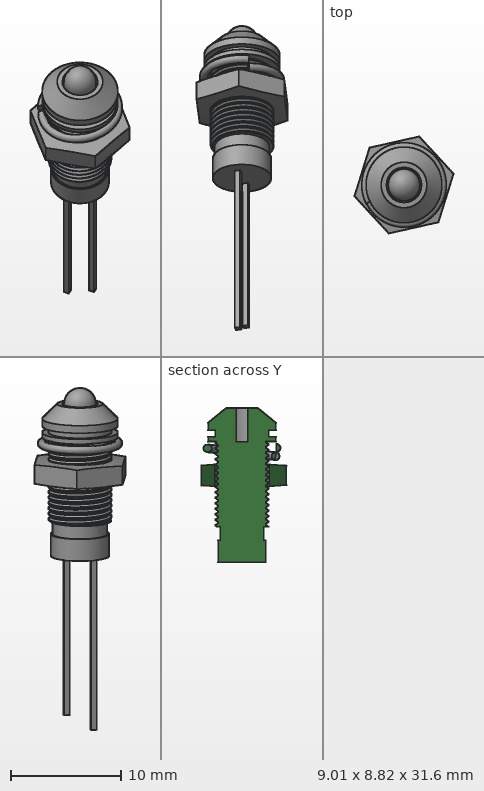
import cadquery as cq
import math


head_diameter = 6.9
head_flat_diameter = 4.15
cone_height = 1.35
rim_height = 0.7
groove_diameter = 5.75
groove_height = 0.57
flange_height = 0.45
head_height = cone_height + rim_height + groove_height + flange_height

thread_diameter = 5.75
thread_root_diameter = 5.3
thread_crest_width = 0.05
thread_root_gap = 0.05
thread_overlap = 0.05
thread_joining_tolerance = 0.001
thread_start_angle = -137
thread_length = 7.75
thread_turns = 15.5
thread_pitch = thread_length / thread_turns
neck_diameter = 5.0
neck_height = 1.2
foot_diameter = 5.3
foot_height = 2.02
thread_end_z = -head_height - thread_length
foot_top_z = thread_end_z - neck_height
foot_bottom_z = foot_top_z - foot_height

led_diameter = 2.9
pocket_diameter = 3.2
pocket_depth = head_height
lead_width = 0.5
lead_spacing = 2.53
overall_length = 31.6
long_lead_end_z = led_diameter / 2 - overall_length
lead_length_difference = 1.5

nut_across_flats = 8.0
nut_corner_height = 1.75
nut_face_slope = 5
nut_middle_z = -6.13
nut_turn = 12.7

wire_diameter = 0.73
coil_radius = 3.48
flat_coil_z = -3.63
split_angle = 206
bend_angle = 6.6


def cylinder(diameter, bottom_z, top_z):
    return cq.Workplane("XY").workplane(offset=bottom_z).circle(diameter / 2).extrude(top_z - bottom_z)


def make_threaded_shank():
    """Core with a helical ridge, both run past the ends and trimmed flat to the threaded length."""
    root_radius = thread_root_diameter / 2
    crest_radius = thread_diameter / 2
    sunk_radius = root_radius - thread_overlap
    half_root = (thread_pitch - thread_root_gap) / 2
    half_crest = thread_crest_width / 2
    run_out = 2 * thread_pitch
    helix = cq.Wire.makeHelix(thread_pitch, thread_length + 2 * run_out, root_radius)
    ridge = (
        cq.Workplane("XZ")
        .polyline([
            (sunk_radius, -half_root),
            (root_radius, -half_root),
            (crest_radius, -half_crest),
            (crest_radius, half_crest),
            (root_radius, half_root),
            (sunk_radius, half_root),
        ])
        .close()
        .sweep(cq.Workplane(obj=helix), isFrenet=True)
        .rotate((0, 0, 0), (0, 0, 1), thread_start_angle)
        .translate((0, 0, thread_end_z - run_out))
    )
    core = cylinder(thread_root_diameter, thread_end_z - 2 * run_out, 2 * run_out - head_height)
    trim = cylinder(head_diameter, thread_end_z, -head_height)
    return core.union(ridge, tol=thread_joining_tolerance).intersect(trim)


def make_lead(x, end_z):
    """Square lead from its free end up to the underside of the LED."""
    return (
        cq.Workplane("XY")
        .workplane(offset=end_z)
        .center(x, 0)
        .rect(lead_width, lead_width)
        .extrude(-pocket_depth - end_z)
    )


def make_housing(leads):
    """Grooved conical head, threaded shank, neck and foot, with the LED pocket and lead holes."""
    head_radius = head_diameter / 2
    rim_bottom_z = -cone_height - rim_height
    groove_bottom_z = rim_bottom_z - groove_height
    profile = [
        (0, 0),
        (head_flat_diameter / 2, 0),
        (head_radius, -cone_height),
        (head_radius, rim_bottom_z),
        (groove_diameter / 2, rim_bottom_z),
        (groove_diameter / 2, groove_bottom_z),
        (head_radius, groove_bottom_z),
        (head_radius, -head_height),
        (neck_diameter / 2, -head_height),
        (neck_diameter / 2, foot_top_z),
        (foot_diameter / 2, foot_top_z),
        (foot_diameter / 2, foot_bottom_z),
        (0, foot_bottom_z),
    ]
    housing = cq.Workplane("XZ").polyline(profile).close().revolve(360, (0, 0), (0, 1))
    housing = housing.union(make_threaded_shank())
    housing = housing.cut(cylinder(pocket_diameter, -pocket_depth, 0))
    for lead in leads:
        housing = housing.cut(lead)
    return housing


def make_led():
    """Cylinder standing on the pocket floor, with a hemispherical dome above the head."""
    radius = led_diameter / 2
    return (
        cq.Workplane("XZ")
        .moveTo(0, -pocket_depth)
        .lineTo(radius, -pocket_depth)
        .lineTo(radius, 0)
        .threePointArc((radius * math.sqrt(0.5), radius * math.sqrt(0.5)), (0, radius))
        .close()
        .revolve(360, (0, 0), (0, 1))
    )


def make_nut():
    """Hexagon whose end faces are shallow cones, rising from the corners toward the bore."""
    corner_radius = nut_across_flats / 2 / math.cos(math.radians(30))
    bore_radius = thread_diameter / 2
    corner_half = nut_corner_height / 2
    bore_half = corner_half + (corner_radius - bore_radius) * math.tan(math.radians(nut_face_slope))
    ring = (
        cq.Workplane("XZ")
        .polyline([
            (bore_radius, -bore_half),
            (corner_radius, -corner_half),
            (corner_radius, corner_half),
            (bore_radius, bore_half),
        ])
        .close()
        .revolve(360, (0, 0), (0, 1))
    )
    hexagon = (
        cq.Workplane("XY")
        .polygon(6, 2 * corner_radius)
        .extrude(bore_half, both=True)
        .rotate((0, 0, 0), (0, 0, 1), nut_turn)
    )
    return ring.intersect(hexagon).translate((0, 0, nut_middle_z))


def make_wire_arc(angle, axis_direction):
    """Bent wire starting on the +X side; counterclockwise from above for axis_direction 1."""
    return (
        cq.Workplane("XZ")
        .center(coil_radius, 0)
        .circle(wire_diameter / 2)
        .revolve(angle, (-coil_radius, 0), (-coil_radius, axis_direction))
    )


def make_washer():
    """One turn of wire: a flat arc from +X to the split, the rest tilted down about the +X side."""
    flat_arc = make_wire_arc(split_angle, 1)
    tilted_arc = make_wire_arc(360 - split_angle, -1)
    tilted_arc = tilted_arc.rotate((coil_radius, 0, 0), (coil_radius, 1, 0), -bend_angle)
    return flat_arc.union(tilted_arc).translate((0, 0, flat_coil_z))


leads = [
    make_lead(-lead_spacing / 2, long_lead_end_z),
    make_lead(lead_spacing / 2, long_lead_end_z + lead_length_difference),
]
housing = make_housing(leads)
led = make_led()
nut = make_nut()
washer = make_washer()

result = cq.Compound.makeCompound(
    [housing.val(), led.val(), nut.val(), washer.val(), *[lead.val() for lead in leads]]
)